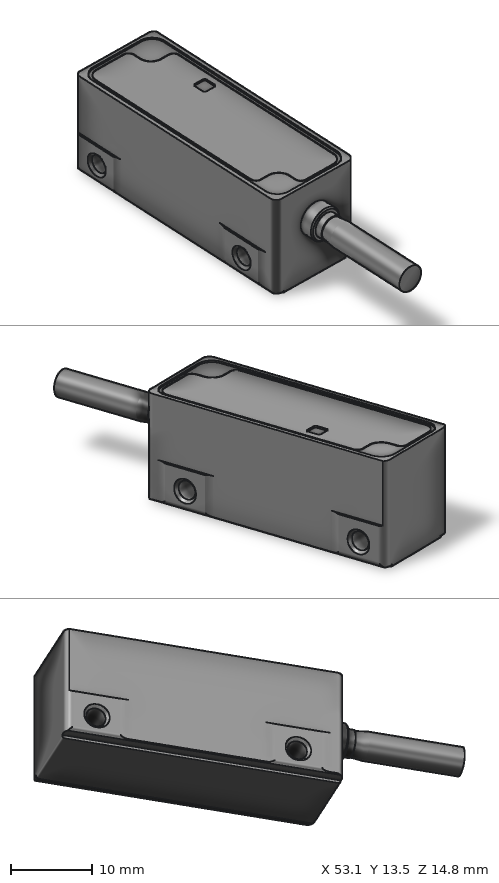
import cadquery as cq
import math

length = 36.0
overall_width = 13.5
overall_height = 14.8
corner_radius = 1.0
pad_proud = 0.15
body_width = overall_width - 2 * pad_proud

runner_width = 10.4
runner_height = 0.4
runner_end_radius = runner_height
body_height = overall_height - runner_height

hole_xs = (4.0, 30.0)
hole_z = 3.0
hole_diameter = 2.5
countersink_diameter = 3.3
countersink_depth = (countersink_diameter - hole_diameter) / 2
pad_top_z = 6.08
pad_top_drop = 0.13
pad_flats = ((0.0, 7.0), (27.0, 33.0))
pad_bottom_z = 1.0
pad_bottom_radius = 0.8
pad_flank = 1.1
flank_radius = (pad_flank**2 + pad_proud**2) / (2 * pad_proud)

recess_margin_x = 0.5
recess_margin_y = 0.6
recess_radius = 2.0
recess_depth = 0.25
recess_length = length - 2 * recess_margin_x
recess_width = body_width - 2 * recess_margin_y

label_gap = 0.5
label_thickness = 0.1
label_half_length = recess_length / 2 - label_gap
label_half_width = recess_width / 2 - label_gap
label_radius = recess_radius - label_gap
notch_length = 3.8
notch_width = 4.0
notch_outer_radius = 0.9
notch_inner_radius = 1.8

window_x = 12.45
window_y = 3.5
window_length = 2.1
window_width = 2.0
window_radius = 0.35
window_depth = 0.25

cable_z = 9.0
collar_radius = 2.4
collar_end_x = 38.0
collar_chamfer = 0.2
sleeve_radius = 1.78
sleeve_end_x = 39.05
neck_radius = 1.65
neck_end_x = 40.8
cable_radius = 1.85
cable_end_x = 53.1


def bar(width):
    """Plain housing bar along X, above the runner."""
    return (
        cq.Workplane("XY")
        .workplane(offset=runner_height)
        .center(length / 2, 0)
        .rect(length, width)
        .extrude(body_height)
    )


def pad_bar(flat_start, flat_end):
    """Bar across the housing whose ends stand proud as two pads with hollow flanks."""
    outer = overall_width / 2
    inner = body_width / 2
    half_flank_angle = math.asin(pad_flank / flank_radius) / 2
    mid_run = pad_flank - flank_radius * math.sin(half_flank_angle)
    mid_y = inner + flank_radius * (1 - math.cos(half_flank_angle))
    return (
        cq.Workplane("XY")
        .workplane(offset=runner_height)
        .moveTo(flat_start - pad_flank, -inner)
        .threePointArc((flat_start - mid_run, -mid_y), (flat_start, -outer))
        .lineTo(flat_end, -outer)
        .threePointArc((flat_end + mid_run, -mid_y), (flat_end + pad_flank, -inner))
        .lineTo(flat_end + pad_flank, inner)
        .threePointArc((flat_end + mid_run, mid_y), (flat_end, outer))
        .lineTo(flat_start, outer)
        .threePointArc((flat_start - mid_run, mid_y), (flat_start - pad_flank, inner))
        .close()
        .extrude(pad_top_z - runner_height)
    )


def end_envelope():
    """End profile swept along X: sloping pad tops, lower sides curving in below the pad flats."""
    outer = overall_width / 2
    inner = body_width / 2
    slope_end_z = pad_top_z - pad_top_drop
    drop = pad_bottom_z - runner_height
    turn = math.asin(drop / pad_bottom_radius)
    mid_y = outer - pad_bottom_radius * (1 - math.cos(turn / 2))
    mid_z = pad_bottom_z - pad_bottom_radius * math.sin(turn / 2)
    bottom_y = outer - pad_bottom_radius * (1 - math.cos(turn))
    return (
        cq.Workplane("YZ")
        .moveTo(-inner, overall_height)
        .lineTo(-inner, pad_top_z)
        .lineTo(-outer, slope_end_z)
        .lineTo(-outer, pad_bottom_z)
        .threePointArc((-mid_y, mid_z), (-bottom_y, runner_height))
        .lineTo(bottom_y, runner_height)
        .threePointArc((mid_y, mid_z), (outer, pad_bottom_z))
        .lineTo(outer, slope_end_z)
        .lineTo(inner, pad_top_z)
        .lineTo(inner, overall_height)
        .close()
        .extrude(length)
    )


def housing():
    """Housing with pads; the closed-end corners are rounded at the full pad width."""
    body = bar(body_width).edges("|Z and >X").fillet(corner_radius)
    for flat_start, flat_end in pad_flats:
        body = body.union(pad_bar(flat_start, flat_end))
    closed_end = bar(overall_width).edges("|Z and <X").fillet(corner_radius)
    return body.intersect(closed_end).intersect(end_envelope())


def runner():
    """Flat runner along the underside with rounded bottom ends."""
    return (
        cq.Workplane("XY")
        .center(length / 2, 0)
        .rect(length, runner_width)
        .extrude(runner_height + runner_end_radius)
        .edges("|Y and <Z")
        .fillet(runner_end_radius)
    )


def mounting_hole(hole_x):
    """Through hole along Y, countersunk on both pad faces."""
    half_width = overall_width / 2
    bore_radius = hole_diameter / 2
    mouth_radius = countersink_diameter / 2
    return (
        cq.Workplane("XY")
        .moveTo(0, -half_width)
        .lineTo(mouth_radius, -half_width)
        .lineTo(bore_radius, countersink_depth - half_width)
        .lineTo(bore_radius, half_width - countersink_depth)
        .lineTo(mouth_radius, half_width)
        .lineTo(0, half_width)
        .close()
        .revolve(360, (0, 0), (0, 1))
        .translate((hole_x, 0, hole_z))
    )


def label_recess():
    """Shallow pocket in the top face."""
    return (
        cq.Workplane("XY")
        .workplane(offset=overall_height - recess_depth)
        .center(length / 2, 0)
        .rect(recess_length, recess_width)
        .extrude(recess_depth)
        .edges("|Z")
        .fillet(recess_radius)
    )


def label_notch(side):
    """Corner cut of the label: side -1 at the closed end, +1 at the cable end."""
    inner_x = side * (label_half_length - notch_length)
    inner_y = -side * (label_half_width - notch_width)
    outer_x = side * recess_length
    outer_y = -side * recess_width
    return (
        cq.Workplane("XY")
        .moveTo(inner_x, inner_y)
        .lineTo(outer_x, inner_y)
        .lineTo(outer_x, outer_y)
        .lineTo(inner_x, outer_y)
        .close()
        .extrude(label_thickness)
        .edges(cq.selectors.NearestToPointSelector((inner_x, inner_y, label_thickness / 2)))
        .fillet(notch_inner_radius)
    )


def label():
    """Thin rounded label on the recess floor, without its window."""
    plate = cq.Workplane("XY").rect(2 * label_half_length, 2 * label_half_width).extrude(label_thickness)
    for side in (-1, 1):
        whole_corner = (side * label_half_length, side * label_half_width, label_thickness / 2)
        plate = plate.edges(cq.selectors.NearestToPointSelector(whole_corner)).fillet(label_radius)
    for side in (-1, 1):
        plate = plate.cut(label_notch(side))
        for corner_x, corner_y in (
            (label_half_length - notch_length, label_half_width),
            (label_half_length, label_half_width - notch_width),
        ):
            corner = (side * corner_x, -side * corner_y, label_thickness / 2)
            plate = plate.edges(cq.selectors.NearestToPointSelector(corner)).fillet(notch_outer_radius)
    return plate.translate((length / 2, 0, overall_height - recess_depth))


def window():
    """Blind rounded-square window cut down from the label surface."""
    label_top = overall_height - recess_depth + label_thickness
    return (
        cq.Workplane("XY")
        .workplane(offset=label_top - window_depth)
        .center(window_x, window_y)
        .rect(window_length, window_width)
        .extrude(window_depth)
        .edges("|Z")
        .fillet(window_radius)
    )


def cable():
    """Gland collar, sleeve, tapered neck and cable as one revolved solid."""
    return (
        cq.Workplane("XY")
        .moveTo(length - corner_radius, 0)
        .lineTo(length - corner_radius, collar_radius)
        .lineTo(collar_end_x - collar_chamfer, collar_radius)
        .lineTo(collar_end_x, collar_radius - collar_chamfer)
        .lineTo(collar_end_x, sleeve_radius)
        .lineTo(sleeve_end_x, sleeve_radius)
        .lineTo(sleeve_end_x, neck_radius)
        .lineTo(neck_end_x, cable_radius)
        .lineTo(cable_end_x, cable_radius)
        .lineTo(cable_end_x, 0)
        .close()
        .revolve(360, (0, 0), (1, 0))
        .translate((0, 0, cable_z))
    )


result = housing().union(runner())
for hole_x in hole_xs:
    result = result.cut(mounting_hole(hole_x))
result = result.cut(label_recess()).union(label()).cut(window()).union(cable())